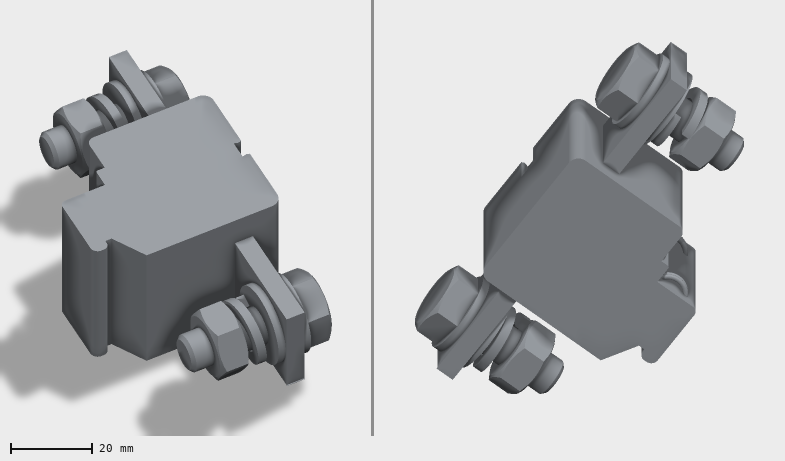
import cadquery as cq
import math


housing_width = 40.0
housing_height = 40.0
side_x = housing_width / 2
rear_y = 10.8
shelf_y = -23.1
step_x = -10.0
step_y = -25.6
foot_x = -5.0
foot_y = -38.2
ramp_y = -27.0
notch_x = 11.2
notch_upper_y = -32.2
notch_lower_y = -33.9
toe_x = 13.5
rear_radius = 3.0
shelf_radius = 2.0
foot_radius = 1.5
step_radius = 0.5
toe_upper_radius = 1.5
toe_lower_radius = 2.0

slot_wide_width = 4.8
slot_neck_width = 4.1
slot_neck_depth = 0.8
slot_depth = 2.0
slot_length = 10.0

overall_length = 96
bar_length = 95.7
bar_height = 25.0
bar_thickness = 5.0
bar_z = -1.0
lip_length = overall_length - bar_length
lip_height = 0.1

bolt_x = 37.0
shank_diameter = 10.0
shank_end_y = -25.3
tip_chamfer = 1.0
hex_flats = 17.0
hex_face_diameter = 16.0
hex_chamfer_slope = math.tan(math.radians(30))
hex_corner_diameter = hex_flats / math.cos(math.radians(30))
head_height = 7.0
head_turn = 30
nut_height = 8.0
nut_turn = 0
washer_diameter = 21.0
washer_thickness = 2.0

spring_inner_diameter = 11.0
spring_outer_diameter = 17.7
spring_thickness = 2.3
spring_pitch = 4.7
left_spring_turn = 20
right_spring_turn = left_spring_turn + 90
spring_overlap = 0.14
spring_gap = 7.0

wire_diameter = 1.2
coil_radius = 4.3
coil_x = -2.7
coil_y = -30.6
coil_pitch = 1.4
coil_turns = 2
clip_spacing = 27.5

bar_face = bar_thickness / 2
washer_face = bar_face + washer_thickness
head_face = washer_face + head_height
spring_start_y = -washer_face + spring_overlap - spring_thickness / 2
spring_height = spring_gap + 2 * spring_overlap - spring_thickness
nut_seat_y = -washer_face - spring_gap


def cylinder_y(diameter, start_y, length):
    """Cylinder on the Y axis from start_y towards -Y."""
    return cq.Workplane("XZ", origin=(0, start_y, 0)).circle(diameter / 2).extrude(length)


def make_housing():
    profile = (
        cq.Workplane("XY", origin=(0, 0, -housing_height / 2))
        .moveTo(-side_x + rear_radius, rear_y)
        .lineTo(side_x - rear_radius, rear_y)
        .radiusArc((side_x, rear_y - rear_radius), rear_radius)
        .lineTo(side_x, ramp_y)
        .lineTo(notch_x, notch_upper_y)
        .lineTo(notch_x, notch_lower_y)
        .lineTo(toe_x - toe_upper_radius, notch_lower_y)
        .radiusArc((toe_x, notch_lower_y - toe_upper_radius), toe_upper_radius)
        .lineTo(toe_x, foot_y + toe_lower_radius)
        .radiusArc((toe_x - toe_lower_radius, foot_y), toe_lower_radius)
        .lineTo(foot_x + foot_radius, foot_y)
        .radiusArc((foot_x, foot_y + foot_radius), foot_radius)
        .lineTo(foot_x, step_y)
        .lineTo(step_x + step_radius, step_y)
        .radiusArc((step_x, step_y + step_radius), step_radius)
        .lineTo(step_x, shelf_y)
        .lineTo(-side_x + shelf_radius, shelf_y)
        .radiusArc((-side_x, shelf_y + shelf_radius), shelf_radius)
        .lineTo(-side_x, rear_y - rear_radius)
        .radiusArc((-side_x + rear_radius, rear_y), rear_radius)
        .close()
    )
    return profile.extrude(housing_height).cut(make_slot())


def make_slot():
    return (
        cq.Workplane("XY", origin=(0, rear_y, housing_height / 2))
        .moveTo(-slot_wide_width / 2, 0)
        .lineTo(slot_wide_width / 2, 0)
        .lineTo(slot_neck_width / 2, -slot_neck_depth)
        .lineTo(slot_wide_width / 2, -slot_depth)
        .lineTo(-slot_wide_width / 2, -slot_depth)
        .lineTo(-slot_neck_width / 2, -slot_neck_depth)
        .close()
        .extrude(-slot_length)
    )


def make_bar():
    bar = cq.Workplane("XY").box(bar_length, bar_thickness, bar_height)
    lip = (
        cq.Workplane("XY", origin=(bar_length / 2, 0, -bar_height / 2))
        .box(lip_length, bar_thickness, lip_height, centered=(False, True, False))
    )
    return bar.union(lip).translate((0, 0, bar_z))


def make_hex(start_y, height, turn):
    """Hexagon prism from start_y towards -Y, turned about its axis by an angle in degrees."""
    prism = cq.Workplane("XZ", origin=(0, start_y, 0)).polygon(6, hex_corner_diameter).extrude(height)
    return prism.rotate((0, 0, 0), (0, 1, 0), turn)


def chamfer_cone(face_y, depth):
    """Cone on the Y axis that starts as the flat end circle at face_y and widens over a signed depth."""
    face_radius = hex_face_diameter / 2
    base_radius = face_radius + abs(depth) / hex_chamfer_slope
    return (
        cq.Workplane("XY")
        .moveTo(0, face_y)
        .lineTo(face_radius, face_y)
        .lineTo(base_radius, face_y + depth)
        .lineTo(0, face_y + depth)
        .close()
        .revolve(360, (0, 0, 0), (0, 1, 0))
    )


def make_head():
    return make_hex(head_face, head_height, head_turn).intersect(chamfer_cone(head_face, -head_height))


def make_nut():
    end_y = nut_seat_y - nut_height
    nut = make_hex(nut_seat_y, nut_height, nut_turn)
    return nut.intersect(chamfer_cone(nut_seat_y, -nut_height)).intersect(chamfer_cone(end_y, nut_height))


def make_spring_washer(turn):
    """Coil advancing towards -Y; it starts on the -Z side before being turned."""
    mean_radius = (spring_inner_diameter + spring_outer_diameter) / 4
    radial_width = (spring_outer_diameter - spring_inner_diameter) / 2
    path = cq.Wire.makeHelix(spring_pitch, spring_height, mean_radius)
    coil = (
        cq.Workplane("XZ", origin=(mean_radius, 0, 0))
        .rect(radial_width, spring_thickness)
        .sweep(cq.Workplane(path), isFrenet=True)
    )
    laid_down = coil.rotate((0, 0, 0), (1, 0, 0), 90).rotate((0, 0, 0), (0, 1, 0), 90 + turn)
    return laid_down.translate((0, spring_start_y, 0))


def make_bolt(spring_turn):
    shank = cylinder_y(shank_diameter, washer_face, washer_face - shank_end_y)
    bolt = shank.faces("<Y").chamfer(tip_chamfer)
    bolt = bolt.union(cylinder_y(washer_diameter, washer_face, washer_thickness))
    bolt = bolt.union(cylinder_y(washer_diameter, -bar_face, washer_thickness))
    bolt = bolt.union(make_head()).union(make_nut())
    return bolt.union(make_spring_washer(spring_turn))


def make_clip_spring(z):
    """Left-handed wire coil about a Z axis, centred at height z, with both ends inside the foot."""
    coil_height = coil_turns * coil_pitch
    path = cq.Wire.makeHelix(coil_pitch, coil_height, coil_radius, lefthand=True)
    coil = (
        cq.Workplane("XZ", origin=(coil_radius, 0, 0))
        .circle(wire_diameter / 2)
        .sweep(cq.Workplane(path), isFrenet=True)
    )
    return coil.translate((coil_x, coil_y, z - coil_height / 2))


result = make_housing().union(make_bar())

for x, spring_turn in ((-bolt_x, left_spring_turn), (bolt_x, right_spring_turn)):
    result = result.union(make_bolt(spring_turn).translate((x, 0, bar_z)))

for side in (-1, 1):
    result = result.union(make_clip_spring(bar_z + side * clip_spacing / 2))